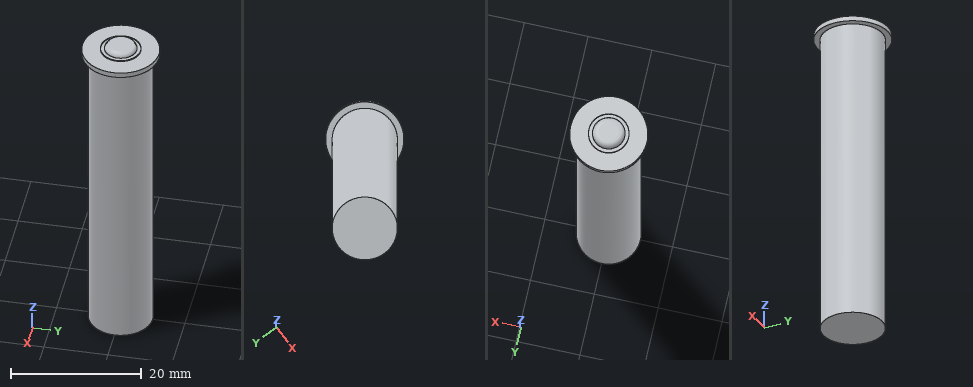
import cadquery as cq

total_height = 52.6
body_diameter = 10.0
flange_diameter = 12.0
flange_thickness = 0.85
ring_diameter = 6.2
ring_height = 0.15
button_diameter = 5.0
button_flat_diameter = 3.05
button_height = 0.85

ring_top = total_height - button_height
flange_top = ring_top - ring_height
body_height = flange_top - flange_thickness


def disc(diameter, bottom, top):
    """Solid cylinder on the Z axis between two levels."""
    return cq.Workplane("XY").workplane(offset=bottom).circle(diameter / 2).extrude(top - bottom)


def rounded_button():
    """Flat-topped button whose rounded side leaves the flat tangentially."""
    return (
        cq.Workplane("XZ")
        .moveTo(0, ring_top)
        .lineTo(0, total_height)
        .lineTo(button_flat_diameter / 2, total_height)
        .tangentArcPoint((button_diameter / 2, ring_top), relative=False)
        .close()
        .revolve(360, (0, 0, 0), (0, 1, 0))
    )


body = disc(body_diameter, 0, body_height)
flange = disc(flange_diameter, body_height, flange_top)
ring = disc(ring_diameter, flange_top, ring_top)

result = body.union(flange).union(ring).union(rounded_button())